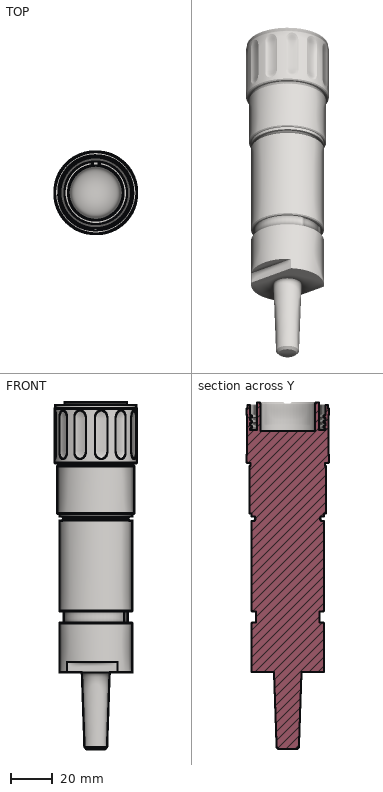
import math

import cadquery as cq

BASE_Z = 0.0
PIN_LENGTH = 36.93
TOP_Z = 129.5
RIM_Z = TOP_Z - 1.25
KNOB_TOP_Z = TOP_Z - 2.75
KNOB_BOTTOM_Z = TOP_Z - 29.3
SLEEVE_TOP_Z = TOP_Z - 30.3
SLEEVE_BOTTOM_Z = TOP_Z - 53.6
COLLAR_BOTTOM_Z = TOP_Z - 54.8
BARREL_TOP_Z = TOP_Z - 56.8
BARREL_BOTTOM_Z = TOP_Z - 100.45
FOOT_TOP_Z = TOP_Z - 105.5

TUBE_RADIUS = 15.0
RIM_RADIUS = 19.5
KNOB_RADIUS = 19.85
SLEEVE_RADIUS = 18.5
BODY_RADIUS = 17.5
RING_GROOVE_RADIUS = 16.0
RING_GROOVE_V_DEPTH = 0.4
WAIST_RADIUS = 16.0
WAIST_CORE_RADIUS = 15.4
EDGE_CHAMFER = 0.5
KNOB_NECK_RADIUS = SLEEVE_RADIUS - EDGE_CHAMFER

PIN_ROOT_RADIUS = 6.75
PIN_TAPER_ANGLE = 2.0
PIN_TIP_CHAMFER = 1.2

BORE_RADIUS = 13.0
BORE_MOUTH_RADIUS = 13.3
BORE_LEAD_HEIGHT = 1.0
BORE_DEPTH = 13.7
CHANNEL_RADIUS = 18.0
CHANNEL_DEPTH = 12.0
NOTCH_WIDTH = 4.0
NOTCH_DEPTH = 0.8

RIDGE_COUNT = 3
RIDGE_PITCH = 2.5
RIDGE_CREST_RADIUS = 17.0
RIDGE_CREST_WIDTH = 0.6
RIDGE_FLANK_ANGLE = 30.0
FIRST_RIDGE_DEPTH = 5.6

FLUTE_COUNT = 12
FLUTE_RADIUS = 7.0
FLUTE_HALF_WIDTH = 3.0
FLUTE_TOP_Z = TOP_Z - 4.0
FLUTE_BOTTOM_Z = TOP_Z - 27.2

CLOCKING_ANGLE = -7.5
WAIST_FLAT_DISTANCE = 14.5
FOOT_FLAT_DISTANCE = 12.5
FOOT_FLAT_HEIGHT = 5.0

ORIGIN = (0, 0, 0)
Z_DIRECTION = (0, 0, 1)


def disc(radius, bottom, top):
    """Cylinder about Z between two heights."""
    return cq.Workplane("XY").workplane(offset=bottom).circle(radius).extrude(top - bottom)


def turned(points):
    """Solid of revolution about Z from (radius, height) points."""
    return cq.Workplane("XZ").polyline(points).close().revolve(360, (0, 0), (0, 1))


def outer_body():
    """Pin, foot, waist, barrel, sleeve, knob and tube as one turned solid."""
    c = EDGE_CHAMFER
    tip_z = BASE_Z - PIN_LENGTH
    shoulder_z = tip_z + PIN_TIP_CHAMFER
    shoulder_radius = PIN_ROOT_RADIUS - (BASE_Z - shoulder_z) * math.tan(math.radians(PIN_TAPER_ANGLE))
    groove_middle_z = (COLLAR_BOTTOM_Z + BARREL_TOP_Z) / 2
    return turned(
        [
            (0, tip_z),
            (shoulder_radius - PIN_TIP_CHAMFER, tip_z),
            (shoulder_radius, shoulder_z),
            (PIN_ROOT_RADIUS, BASE_Z),
            (BODY_RADIUS, BASE_Z),
            (BODY_RADIUS, FOOT_TOP_Z - c),
            (BODY_RADIUS - c, FOOT_TOP_Z),
            (WAIST_CORE_RADIUS, FOOT_TOP_Z),
            (WAIST_CORE_RADIUS, BARREL_BOTTOM_Z),
            (BODY_RADIUS - c, BARREL_BOTTOM_Z),
            (BODY_RADIUS, BARREL_BOTTOM_Z + c),
            (BODY_RADIUS, BARREL_TOP_Z),
            (RING_GROOVE_RADIUS, BARREL_TOP_Z),
            (RING_GROOVE_RADIUS - RING_GROOVE_V_DEPTH, groove_middle_z),
            (RING_GROOVE_RADIUS, COLLAR_BOTTOM_Z),
            (BODY_RADIUS, COLLAR_BOTTOM_Z),
            (BODY_RADIUS, SLEEVE_BOTTOM_Z),
            (SLEEVE_RADIUS - c, SLEEVE_BOTTOM_Z),
            (SLEEVE_RADIUS, SLEEVE_BOTTOM_Z + c),
            (SLEEVE_RADIUS, SLEEVE_TOP_Z - c),
            (KNOB_NECK_RADIUS, SLEEVE_TOP_Z),
            (KNOB_NECK_RADIUS, KNOB_BOTTOM_Z),
            (KNOB_RADIUS - c, KNOB_BOTTOM_Z),
            (KNOB_RADIUS, KNOB_BOTTOM_Z + c),
            (KNOB_RADIUS, KNOB_TOP_Z - c),
            (RIM_RADIUS, KNOB_TOP_Z),
            (RIM_RADIUS, RIM_Z),
            (TUBE_RADIUS, RIM_Z),
            (TUBE_RADIUS, TOP_Z),
            (0, TOP_Z),
        ]
    )


def waist_ring():
    """Raised ring around the waist core, with two opposite flats facing X."""
    height = BARREL_BOTTOM_Z - FOOT_TOP_Z
    slab = cq.Workplane("XY").box(2 * WAIST_FLAT_DISTANCE, 2 * WAIST_RADIUS, height)
    ring = disc(WAIST_RADIUS, FOOT_TOP_Z, BARREL_BOTTOM_Z)
    return ring.intersect(slab.translate((0, 0, FOOT_TOP_Z + height / 2)))


def foot_flats():
    """Blocks that cut two opposite flats facing Y into the lower end of the body."""
    depth = BODY_RADIUS - FOOT_FLAT_DISTANCE
    centre_y = FOOT_FLAT_DISTANCE + depth / 2
    blocks = cq.Workplane("XY").workplane(offset=BASE_Z).pushPoints([(0, -centre_y), (0, centre_y)])
    return blocks.rect(2 * BODY_RADIUS, depth).extrude(FOOT_FLAT_HEIGHT)


def bore():
    """Blind bore in the top of the tube, with a steep lead-in at its mouth."""
    floor_z = TOP_Z - BORE_DEPTH
    return turned(
        [
            (0, floor_z),
            (BORE_RADIUS, floor_z),
            (BORE_RADIUS, TOP_Z - BORE_LEAD_HEIGHT),
            (BORE_MOUTH_RADIUS, TOP_Z),
            (0, TOP_Z),
        ]
    )


def channel():
    """Ring-shaped opening between the tube and the knob, with thread ridges on its outer wall."""
    floor_z = RIM_Z - CHANNEL_DEPTH
    opening = disc(CHANNEL_RADIUS, floor_z, RIM_Z).cut(disc(TUBE_RADIUS, floor_z, RIM_Z))
    for index in range(RIDGE_COUNT):
        opening = opening.cut(ridge(RIM_Z - FIRST_RIDGE_DEPTH - index * RIDGE_PITCH))
    return opening


def ridge(crest_z):
    """Inward ridge whose flat crest is centred on the given height."""
    half_crest = RIDGE_CREST_WIDTH / 2
    flank = (CHANNEL_RADIUS - RIDGE_CREST_RADIUS) * math.tan(math.radians(RIDGE_FLANK_ANGLE))
    return turned(
        [
            (CHANNEL_RADIUS, crest_z - half_crest - flank),
            (CHANNEL_RADIUS, crest_z + half_crest + flank),
            (RIDGE_CREST_RADIUS, crest_z + half_crest),
            (RIDGE_CREST_RADIUS, crest_z - half_crest),
        ]
    )


def notch():
    """Index notch with 45 degree sides through the tube wall on the +Y side."""
    half_top = NOTCH_WIDTH / 2
    half_bottom = half_top - NOTCH_DEPTH
    section = cq.Workplane("XZ").polyline(
        [
            (-half_top, TOP_Z),
            (-half_bottom, TOP_Z - NOTCH_DEPTH),
            (half_bottom, TOP_Z - NOTCH_DEPTH),
            (half_top, TOP_Z),
        ]
    )
    return section.close().extrude(-TUBE_RADIUS)


def flute():
    """Ball-ended cutter along Z, sunk into the knob from the +X side."""
    half = FLUTE_HALF_WIDTH
    distance = math.sqrt(KNOB_RADIUS**2 - half**2) + math.sqrt(FLUTE_RADIUS**2 - half**2)
    runout = math.sqrt(FLUTE_RADIUS**2 - (distance - KNOB_RADIUS) ** 2)
    bottom = FLUTE_BOTTOM_Z + runout
    top = FLUTE_TOP_Z - runout
    cutter = disc(FLUTE_RADIUS, bottom, top)
    for end in (bottom, top):
        cutter = cutter.union(cq.Workplane("XY").sphere(FLUTE_RADIUS).translate((0, 0, end)))
    return cutter.translate((distance, 0, 0))


part = outer_body().union(waist_ring()).cut(foot_flats()).cut(bore()).cut(channel())
flute_pitch = 360 / FLUTE_COUNT
for index in range(FLUTE_COUNT):
    part = part.cut(flute().rotate(ORIGIN, Z_DIRECTION, (index + 0.5) * flute_pitch))

result = part.rotate(ORIGIN, Z_DIRECTION, CLOCKING_ANGLE).cut(notch())